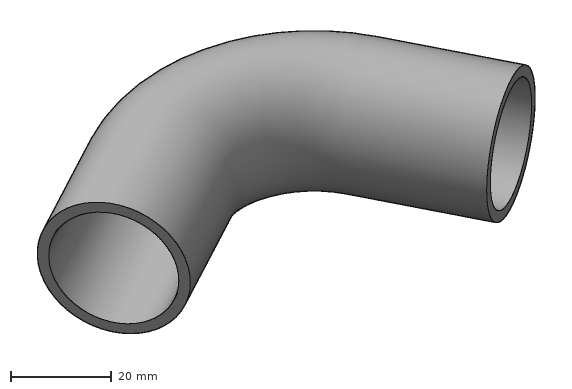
import cadquery as cq
import math

overall_length = 79.0
outer_diameter = 32.0
bore_diameter = 27.2

bend_radius = outer_diameter
straight_length = overall_length - bend_radius - outer_diameter / 2

bend_start = (0, straight_length)
bend_middle = (
    bend_radius * (1 - math.cos(math.pi / 4)),
    straight_length + bend_radius * math.sin(math.pi / 4),
)
bend_end = (bend_radius, straight_length + bend_radius)
outlet = (bend_radius + straight_length, straight_length + bend_radius)

centreline = (
    cq.Workplane("XY")
    .lineTo(*bend_start)
    .threePointArc(bend_middle, bend_end)
    .lineTo(*outlet)
)

result = (
    cq.Workplane("XZ")
    .circle(outer_diameter / 2)
    .circle(bore_diameter / 2)
    .sweep(centreline)
)